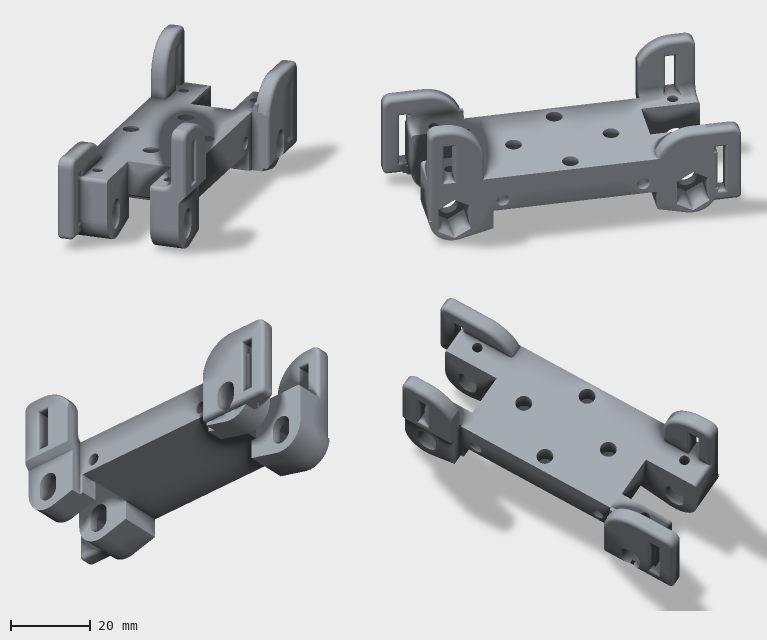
import cadquery as cq
import math

plate_width = 27.5
plate_bottom = 7.6
plate_top = 17.5
body_end = 37.0
pattern_centre_y = 0.2
edge_round = 0.95

notch_left = 11.1
notch_right = 22.65
notch_start = 22.05
step_right = 22.05
step_outer_z = 8.6
step_inner_z = 8.1
step_depth = 0.6

lug_radius = 6.5
lug_axis_y = body_end - lug_radius
lug_axis_z = lug_radius
lug_corner_z = 2.2
rear_lug_corner_y = 20.7
front_lug_corner_y = -21.45
right_lug_side = 30.3

left_ear_thickness = 4.2
right_ear_inside = 28.1
total_width = 32.1
half_length = 43.1
high_ear_top = 33.0
front_left_ear_top = 23.9
rear_right_ear_top = 25.1
ear_foot = 2.6
ear_corner_radius = 2.3
foot_corner_radius = 1.1
crown_radius = 10.0
rear_left_crown_y = 32.8
front_left_crown_y = -30.75
rear_right_crown_y = 32.4
front_right_crown_y = -31.3
rear_left_inner_y = rear_left_crown_y - crown_radius
rear_right_inner_y = 22.6
front_right_inner_y = -22.4
front_right_foot = 13.95
cove_radius = 2.1
foot_fill_radius = 1.0

window_width = 2.8
rim_round = 0.5
rim_margin = 0.1
high_window_top = 28.6
high_window_rear_y = 30.5
high_window_front_y = -32.1
low_window_y = 36.2
low_window_bottom = 5.4
front_left_window_top = 19.0
rear_right_window_top = 20.1

bolt_slot_width = 5.4
bolt_slot_height = 7.8
nut_flats = 8.3
nut_travel = 1.0
nut_depth = 8.6
left_screw_x = 6.2
left_screw_diameter = 2.7
right_screw_x = 25.4
right_screw_diameter = 2.8
side_hole_diameter = 3.3
side_hole_spread = 18.0
side_hole_z = 10.5
blind_hole_diameter = 4.2
blind_hole_depth = 5.2
drill_tip_angle = 118.0
blind_centre_x = 13.6
blind_spread_x = 10.1
blind_spread_y = 12.5

REAR = 1
FRONT = -1


def box(x0, x1, y0, y1, z0, z1):
    """Box between two opposite corners; the two Y values may come in either order."""
    return (
        cq.Workplane("XY", origin=(x0, min(y0, y1), z0))
        .box(x1 - x0, abs(y1 - y0), z1 - z0, centered=False)
    )


def slab(outline, x0, x1):
    """Extrude a closed YZ outline from x0 to x1."""
    return outline.extrude(x1 - x0).translate((x0, 0, 0))


def lug(x0, x1, end, corner_y):
    """Lug whose sloping underside runs tangent into a round toe."""
    axis_y = end * lug_axis_y
    run = abs(axis_y - corner_y)
    rise = lug_axis_z - lug_corner_z
    tangent = math.atan2(-rise, -run) + math.acos(lug_radius / math.hypot(run, rise))

    def on_toe(angle):
        return (axis_y + end * lug_radius * math.cos(angle), lug_axis_z + lug_radius * math.sin(angle))

    outline = (
        cq.Workplane("YZ")
        .moveTo(corner_y, plate_top)
        .lineTo(corner_y, lug_corner_z)
        .lineTo(*on_toe(tangent))
        .threePointArc(on_toe(tangent / 2), on_toe(0))
        .lineTo(end * body_end, plate_top)
        .close()
    )
    return slab(outline, x0, x1)


def lug_edge_cutter(end):
    """Cutter that rounds the upright outer edge of a left lug."""
    centre_y = end * (body_end - edge_round)
    corner = box(0, edge_round, centre_y, end * body_end, lug_axis_z, plate_top)
    pin = cq.Workplane("XY").center(edge_round, centre_y).circle(edge_round).extrude(plate_top)
    return corner.cut(pin)


def make_body():
    """Plate with four lugs, the notches between them and rounded ends."""
    body = box(0, plate_width, -body_end, body_end, plate_bottom, plate_top)
    for end, corner_y, ear_inner_y in (
        (REAR, rear_lug_corner_y, rear_right_inner_y),
        (FRONT, front_lug_corner_y, front_right_inner_y),
    ):
        body = body.union(lug(0, plate_width, end, corner_y))
        beside_ear = box(plate_width, right_lug_side, ear_inner_y, end * body_end, 0, plate_top)
        body = body.union(lug(plate_width, right_lug_side, end, corner_y).intersect(beside_ear))

    body = body.edges("|X and >Z").edges("<Y or >Y").fillet(edge_round)
    for end in (REAR, FRONT):
        body = body.cut(lug_edge_cutter(end))
        start_y = pattern_centre_y + end * notch_start
        body = body.cut(box(notch_left, notch_right, start_y, end * body_end, 0, plate_top))
    body = body.cut(box(notch_left, notch_right, -body_end, body_end, 0, plate_bottom))

    outer_y = pattern_centre_y - notch_start
    inner_y = outer_y + step_depth
    step = (
        cq.Workplane("YZ")
        .moveTo(outer_y, plate_bottom)
        .lineTo(outer_y, step_outer_z)
        .lineTo(inner_y, step_inner_z)
        .lineTo(inner_y, plate_bottom)
        .close()
    )
    return body.cut(slab(step, notch_left, step_right))


def ear(x0, x1, outer_y, inner_y, crown_y, bottom, top):
    """Upright ear: small corners on its outer side, large crown round cut off flat at inner_y."""
    end = math.copysign(1, outer_y)
    outer_side, inner_side = (">Y", "<Y") if end > 0 else ("<Y", ">Y")
    blank = box(x0, x1, crown_y - end * crown_radius, outer_y, bottom, top)
    blank = blank.edges("|X and >Z").edges(outer_side).fillet(ear_corner_radius)
    blank = blank.edges("|X and <Z").edges(outer_side).fillet(foot_corner_radius)
    blank = blank.faces(inner_side).edges(">Z").fillet(crown_radius)
    blank = blank.faces("<X or >X").edges().fillet(edge_round)
    return blank.intersect(box(x0, x1, inner_y, outer_y, bottom, top))


def add_window(plain_ear, y0, z0, z1):
    """Cut a strap window through an ear and round its rim on both faces."""
    y1 = y0 + window_width
    pierced = plain_ear.cut(box(0, total_width, y0, y1, z0, z1))
    around = cq.selectors.BoxSelector(
        (-rim_margin, y0 - rim_margin, z0 - rim_margin),
        (total_width + rim_margin, y1 + rim_margin, z1 + rim_margin),
    )
    return pierced.edges(around).edges("|Y or |Z").fillet(rim_round)


def cove(end, inner_y):
    """Concave round between the plate top and a right ear, its outer end rounded like the plate end."""
    left = right_ear_inside - cove_radius
    right = right_ear_inside + edge_round
    low = plate_top - 2 * edge_round
    high = plate_top + cove_radius
    lead = 0.9
    inset = cove_radius * (1 - math.sqrt(0.5))
    block = (
        cq.Workplane("XZ")
        .moveTo(left - lead, low)
        .lineTo(left - lead, plate_top)
        .lineTo(left, plate_top)
        .threePointArc((right_ear_inside - inset, plate_top + inset), (right_ear_inside, high))
        .lineTo(right_ear_inside, high + lead)
        .lineTo(right + lead, high + lead)
        .lineTo(right + lead, low)
        .close()
        .extrude(abs(end * body_end - inner_y))
        .translate((0, max(end * body_end, inner_y), 0))
    )
    end_y = end * body_end
    profile = cq.selectors.BoxSelector(
        (left - lead, end_y - rim_margin, plate_top - rim_margin),
        (right_ear_inside + rim_margin, end_y + rim_margin, high + lead),
    )
    block = block.edges(profile).fillet(edge_round)
    return block.intersect(box(left, right, inner_y, end_y, low, high))


def cove_opening():
    """Gap that carries the front right strap window through the cove, wider away from the ear."""
    centre_y = high_window_front_y + window_width / 2
    half = window_width / 2
    side = [
        (right_ear_inside + edge_round, half),
        (right_ear_inside, half + rim_round),
        (right_ear_inside - cove_radius, half + 2 * rim_round),
    ]
    other_side = [(x, -y) for x, y in reversed(side)]
    return (
        cq.Workplane("XY", origin=(0, centre_y, plate_top))
        .polyline(side + other_side)
        .close()
        .extrude(cove_radius)
    )


def foot_fill():
    """Concave round between the rear right ear and the lug end, below the strap window."""
    inset = foot_fill_radius * (1 - math.sqrt(0.5))
    left = right_ear_inside - foot_fill_radius
    rear = body_end + foot_fill_radius
    return (
        cq.Workplane("XY", origin=(0, 0, ear_foot))
        .moveTo(left, lug_axis_y)
        .lineTo(left, body_end)
        .threePointArc((right_ear_inside - inset, body_end + inset), (right_ear_inside, rear))
        .lineTo(right_ear_inside + edge_round, rear)
        .lineTo(right_ear_inside + edge_round, lug_axis_y)
        .close()
        .extrude(low_window_bottom - rim_round - ear_foot)
    )


def bevelled_front_right_ear():
    """Front right ear, its foot bevelled back to the side of the lug."""
    plain = ear(
        right_ear_inside, total_width, -body_end, front_right_inner_y, front_right_crown_y,
        lug_axis_z, high_ear_top,
    )
    bevel_top = front_right_foot + total_width - right_lug_side
    below = (
        cq.Workplane("XZ")
        .moveTo(right_lug_side, 0)
        .lineTo(right_lug_side, front_right_foot)
        .lineTo(total_width, bevel_top)
        .lineTo(total_width, 0)
        .close()
        .extrude(half_length)
    )
    return plain.cut(below)


def make_ears():
    """The four ears with their strap windows."""
    rear_left = ear(
        0, left_ear_thickness, body_end, rear_left_inner_y, rear_left_crown_y,
        plate_bottom, high_ear_top,
    )
    front_left = ear(
        0, left_ear_thickness, -half_length, front_lug_corner_y, front_left_crown_y,
        ear_foot, front_left_ear_top,
    )
    rear_right = ear(
        right_ear_inside, total_width, half_length, rear_right_inner_y, rear_right_crown_y,
        ear_foot, rear_right_ear_top,
    )
    return (
        add_window(rear_left, high_window_rear_y, plate_top - 2 * rim_round, high_window_top),
        add_window(front_left, -low_window_y - window_width, low_window_bottom, front_left_window_top),
        add_window(rear_right, low_window_y, low_window_bottom, rear_right_window_top),
        add_window(bevelled_front_right_ear(), high_window_front_y, plate_top, high_window_top),
    )


def bolt_openings(end):
    """Bolt slot through both lugs, nut pocket in the left lug and a screw hole into each."""
    axis_y = end * lug_axis_y
    on_axis = cq.Workplane("YZ").center(axis_y, lug_axis_z)
    openings = on_axis.slot2D(bolt_slot_height, bolt_slot_width, 90).extrude(total_width)

    half = nut_flats / 2
    shoulder = half * math.tan(math.radians(30)) + nut_travel
    tip = half / math.cos(math.radians(30)) + nut_travel
    right_side = [(0, tip), (half, shoulder), (half, -shoulder)]
    hexagon = right_side + [(-y, -z) for y, z in right_side]
    openings = openings.union(on_axis.polyline(hexagon).close().extrude(nut_depth))

    for x, diameter in ((left_screw_x, left_screw_diameter), (right_screw_x, right_screw_diameter)):
        screw = cq.Workplane("XY", origin=(x, axis_y, lug_axis_z)).circle(diameter / 2).extrude(plate_top)
        openings = openings.union(screw)
    return openings


def blind_hole(x, y):
    """Drilled hole from the plate top with a conical tip."""
    radius = blind_hole_diameter / 2
    tip_depth = blind_hole_depth + radius / math.tan(math.radians(drill_tip_angle / 2))
    section = [(0, 0), (radius, 0), (radius, -blind_hole_depth), (0, -tip_depth)]
    drill = cq.Workplane("XZ").polyline(section).close().revolve(360, (0, 0, 0), (0, 1, 0))
    return drill.translate((x, y, plate_top))


def side_hole(y):
    """Cross hole through the full width of the plate."""
    return cq.Workplane("YZ").center(y, side_hole_z).circle(side_hole_diameter / 2).extrude(total_width)


result = make_body()
for one_ear in make_ears():
    result = result.union(one_ear)
result = result.union(cove(REAR, rear_right_inner_y))
result = result.union(cove(FRONT, front_right_inner_y))
result = result.union(foot_fill())

result = result.cut(cove_opening())

for end in (REAR, FRONT):
    result = result.cut(bolt_openings(end))
    result = result.cut(side_hole(pattern_centre_y + end * side_hole_spread))
    result = result.cut(blind_hole(blind_centre_x + end * blind_spread_x, pattern_centre_y))
    result = result.cut(blind_hole(blind_centre_x, pattern_centre_y + end * blind_spread_y))